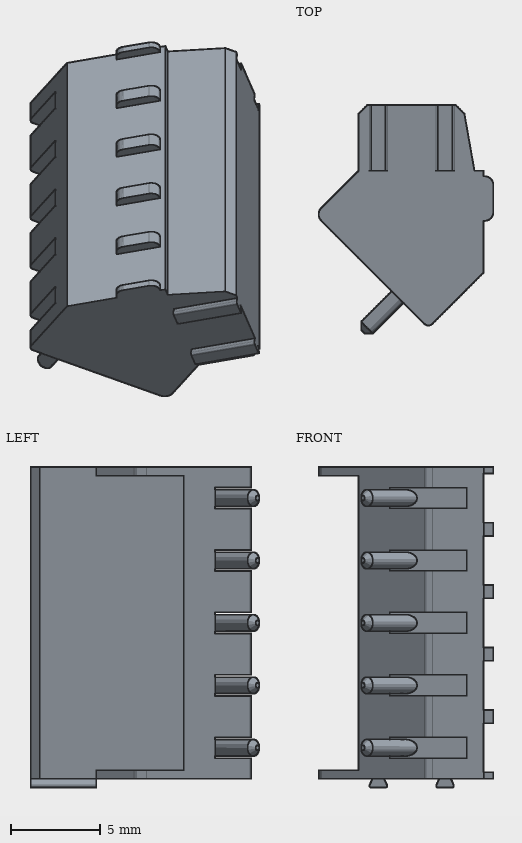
import cadquery as cq
import math


total_height = 18.0
positions = 5
dovetail_height = 0.49
height = total_height - dovetail_height
pitch = height / positions
end_plate = 0.5
wing_reach = 2.45
wing_radius = 0.5
base_right = 7.02
tip_x = 3.92
tip_y = -2 * wing_reach - tip_x
tip_radius = 0.3

head_length = 3.69
head_right = 6.52
head_lean = math.radians(10)
head_chamfer = 0.5

key_height = 0.75
key_reach = 0.55
key_top = -0.3
key_bottom = -2.83
key_radius = 0.5

pin_diameter = 0.94
pin_from_tip = 1.73
pin_length = 2.75
pin_embed = 1.44
pin_chamfer = 0.32
slot_height = 1.17
slot_top = -6.66

joint_centres = (1.12, 4.86)
joint_neck = 0.68
joint_base = 1.12
joint_radius = 0.1
groove_rim_radius = 0.1


def make_housing():
    """Full outline extruded, corners rounded, then thinned to two end wings at the left."""
    lean_slope = math.tan(head_lean)
    chamfer_y = head_length - head_chamfer
    chamfer_right = head_right - chamfer_y * lean_slope
    outline = [
        (head_chamfer, head_length),
        (0, chamfer_y),
        (0, 0),
        (-wing_reach, -wing_reach),
        (tip_x, tip_y),
        (base_right, tip_y + base_right - tip_x),
        (base_right, 0),
        (head_right, 0),
        (chamfer_right, chamfer_y),
        (chamfer_right - head_chamfer, head_length),
    ]
    body = cq.Workplane("XY").polyline(outline).close().extrude(height)

    def corner(x, y):
        return cq.selectors.NearestToPointSelector((x, y, height / 2))

    body = body.edges(corner(-wing_reach, -wing_reach)).fillet(wing_radius)
    body = body.edges(corner(tip_x, tip_y)).fillet(tip_radius)

    wing_gap = cq.Workplane("XY").box(
        wing_reach, 2 * wing_reach, height - 2 * end_plate, centered=False
    )
    return body.cut(wing_gap.translate((-wing_reach, -2 * wing_reach, end_plate)))


def make_keys():
    """One key at every boundary between positions; the outermost two are halved."""
    keys = cq.Workplane("XY")
    for i in range(positions + 1):
        bottom = max(i * pitch - key_height / 2, 0)
        top = min(i * pitch + key_height / 2, height)
        key = (
            cq.Workplane("XY", origin=(base_right, key_bottom, bottom))
            .rect(2 * key_reach, key_top - key_bottom, centered=(True, False))
            .extrude(top - bottom)
            .edges("|Z and >X")
            .fillet(key_radius)
        )
        keys = keys.add(key)
    return keys.combine()


def make_slot(z):
    """Relief slot around a pin, open through the lower corner of the base."""
    depth = slot_top - tip_y
    slot = cq.Workplane("XY").box(base_right, depth, slot_height, centered=(False, False, True))
    return slot.translate((0, tip_y, z))


def make_pin(z):
    """Round pin with a chamfered end, square to the lower left face."""
    exit_x = tip_x - pin_from_tip
    exit_y = tip_y + pin_from_tip
    axis = cq.Plane(origin=(exit_x, exit_y, z), xDir=(0, 0, 1), normal=(-1, -1, 0))
    return (
        cq.Workplane(axis)
        .workplane(offset=-pin_embed)
        .circle(pin_diameter / 2)
        .extrude(pin_embed + pin_length)
        .faces("<(1, 1, 0)")
        .chamfer(pin_chamfer)
    )


def make_dovetail(x, face_z):
    """Flared rail with rounded corners, hanging from a face and running along the head."""
    neck = joint_neck / 2
    base = joint_base / 2
    return (
        cq.Workplane("XZ", origin=(x, head_length, face_z))
        .polyline([(-neck, 0), (-base, -dovetail_height), (base, -dovetail_height), (neck, 0)])
        .close()
        .extrude(head_length)
        .edges("|Y and <Z")
        .fillet(joint_radius)
    )


def add_joint(body, x):
    """Dovetail below the housing and its rounded-rim groove in the upper end face."""
    body = body.union(make_dovetail(x, 0)).cut(make_dovetail(x, height))
    for side in (-1, 1):
        rim = (x + side * joint_neck / 2, head_length / 2, height)
        body = body.edges(cq.selectors.NearestToPointSelector(rim)).fillet(groove_rim_radius)
    return body


result = make_housing().union(make_keys())
for i in range(positions):
    pin_z = (i + 0.5) * pitch
    result = result.cut(make_slot(pin_z)).union(make_pin(pin_z))
for joint_x in joint_centres:
    result = add_joint(result, joint_x)